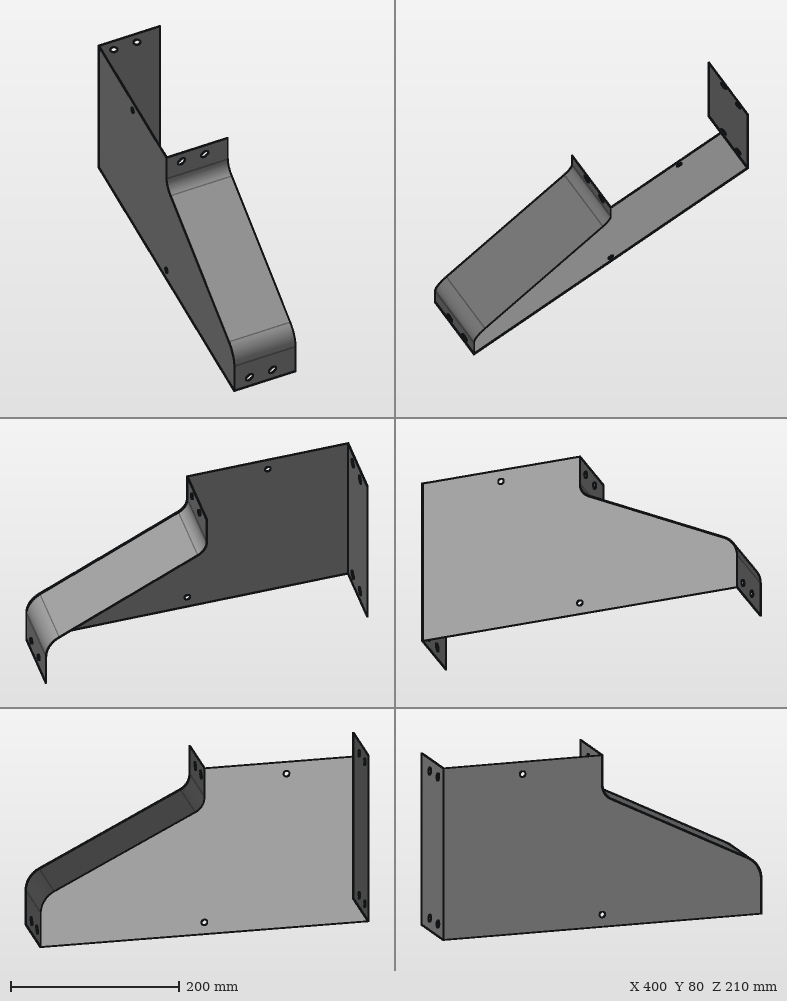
import cadquery as cq

length = 400.0
depth = 80.0
height = 210.0
sheet = 1.0

step_x = (length + sheet) / 2
slope_drop = 100.0
slope_end_z = 61.5
slope_top_z = slope_end_z + slope_drop
inner_corner_radius = 20.0
outer_corner_radius = 30.0

hole_diameter = 7.0
hole_edge_distance = 15.0
upper_hole_z = height - hole_edge_distance
lower_hole_z = hole_edge_distance
web_holes = [(length / 4, upper_hole_z), (length / 2, lower_hole_z)]

slot_width = hole_diameter
slot_length = 10.5
slot_tilt = 45.0
slot_ys = [20.0, 50.0]
slot_zs = [lower_hole_z, upper_hole_z]


def solid_profile():
    """Web outline extruded over the full depth, web outer face on Y = 0."""
    block = (
        cq.Workplane("XZ")
        .moveTo(0, 0)
        .lineTo(length, 0)
        .lineTo(length, slope_end_z)
        .lineTo(step_x, slope_top_z)
        .lineTo(step_x, height)
        .lineTo(0, height)
        .close()
        .extrude(-depth)
    )
    inner_corner = cq.selectors.NearestToPointSelector((step_x, depth / 2, slope_top_z))
    outer_corner = cq.selectors.NearestToPointSelector((length, depth / 2, slope_end_z))
    block = block.edges(inner_corner).fillet(inner_corner_radius)
    return block.edges(outer_corner).fillet(outer_corner_radius)


def bent_sheet():
    """Web plus flanges; the back, the bottom and the top of the tall end stay open."""
    return solid_profile().faces(">Y or >Z or <Z").shell(-sheet)


def drill_web(body):
    """Round holes along Y; only the web lies in their path."""
    cutter = (
        cq.Workplane("XZ")
        .pushPoints(web_holes)
        .circle(hole_diameter / 2)
        .extrude(-depth / 2)
    )
    return body.cut(cutter)


def cut_flange_slots(body, x_start, x_end, tilt):
    """Slots along X between two X positions; tilt is measured from +Y toward +Z."""
    points = [(y, z) for y in slot_ys for z in slot_zs]
    cutter = (
        cq.Workplane("YZ", origin=(x_start, 0, 0))
        .pushPoints(points)
        .slot2D(slot_length, slot_width, tilt)
        .extrude(x_end - x_start)
    )
    return body.cut(cutter)


split_x = step_x / 2
bracket = drill_web(bent_sheet())
bracket = cut_flange_slots(bracket, 0, split_x, -slot_tilt)
result = cut_flange_slots(bracket, split_x, length, slot_tilt)